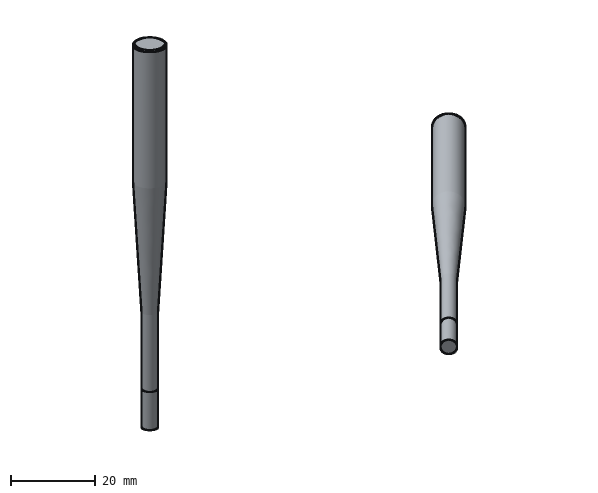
import cadquery as cq

total_length = 100.0
shank_diameter = 8.0
shank_length = 36.0
shank_chamfer = 0.4

tip_diameter = 4.0
tip_length = 10.0
neck_diameter = tip_diameter
neck_length = 20.0

neck_top = tip_length + neck_length
shank_bottom = total_length - shank_length


def make_holder():
    """Straight neck, conical taper and chamfered shank, turned about Z."""
    shank_radius = shank_diameter / 2
    neck_radius = neck_diameter / 2
    return (
        cq.Workplane("XZ")
        .moveTo(0, tip_length)
        .lineTo(neck_radius, tip_length)
        .lineTo(neck_radius, neck_top)
        .lineTo(shank_radius, shank_bottom)
        .lineTo(shank_radius, total_length)
        .lineTo(0, total_length)
        .close()
        .revolve(360, (0, 0, 0), (0, 1, 0))
        .faces(">Z")
        .edges()
        .chamfer(shank_chamfer)
    )


def make_tip():
    """Plain cylindrical cutting tip, seated flat against the neck and flush with it."""
    return cq.Workplane("XY").circle(tip_diameter / 2).extrude(tip_length)


holder = make_holder()
tip = make_tip()

result = cq.Compound.makeCompound([holder.val(), tip.val()])